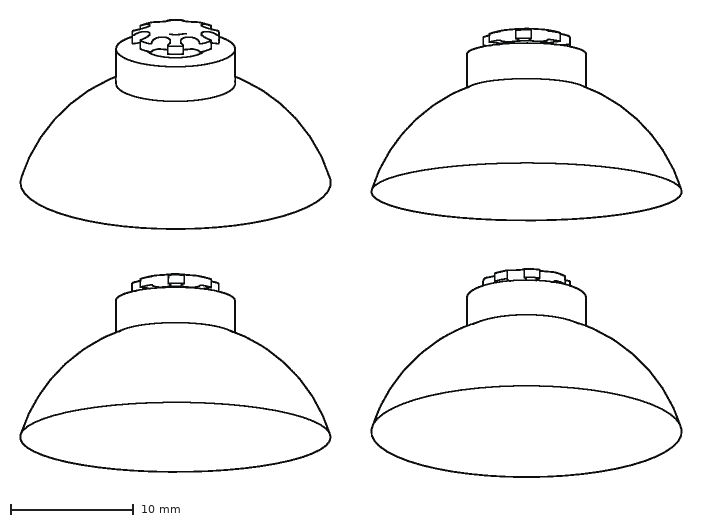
import cadquery as cq
import math

total_height = 13.09
collar_top_z = 11.39
wheel_bottom_z = 12.03
wheel_rim_z = 12.72

base_radius = 25.26 / 2
dome_sphere_radius = 13.2
dome_center_z = -math.sqrt(dome_sphere_radius**2 - base_radius**2)

collar_radius = 9.7 / 2
neck_radius = 2.4

wheel_radius = 3.54
notch_count = 8
notch_radius = 0.76
notch_floor_radius = 2.33
notch_corner_fillet = 0.08

lip_radius = 1.81
hollow_radius = 1.05
hollow_edge_angle = math.radians(23)


def dome_height(radius):
    """Height of the dome surface at a distance from the axis."""
    return dome_center_z + math.sqrt(dome_sphere_radius**2 - radius**2)


def make_body():
    """Dome, collar and neck, revolved around Z."""
    middle_radius = (base_radius + collar_radius) / 2
    profile = (
        cq.Workplane("XZ")
        .lineTo(base_radius, 0)
        .threePointArc(
            (middle_radius, dome_height(middle_radius)),
            (collar_radius, dome_height(collar_radius)),
        )
        .lineTo(collar_radius, collar_top_z)
        .lineTo(neck_radius, collar_top_z)
        .lineTo(neck_radius, wheel_bottom_z)
        .lineTo(0, wheel_bottom_z)
        .close()
    )
    return profile.revolve(360, (0, 0, 0), (0, 1, 0))


def flat_arc_middle(level_point, other_point):
    """Middle of the arc that leaves level_point horizontally and ends at other_point."""
    run = other_point[0] - level_point[0]
    rise = other_point[1] - level_point[1]
    half_sweep = math.atan(rise / run)
    radius = run / math.sin(2 * half_sweep)
    return (
        level_point[0] + radius * math.sin(half_sweep),
        level_point[1] + radius * (1 - math.cos(half_sweep)),
    )


def make_wheel_blank():
    """Wheel with a crowned top and a smooth dimple, before notching."""
    hollow_sphere_radius = hollow_radius / math.sin(hollow_edge_angle)
    lip_arc_radius = (lip_radius - hollow_radius) / math.sin(hollow_edge_angle)
    hollow_edge_z = total_height - lip_arc_radius * (1 - math.cos(hollow_edge_angle))
    hollow_bottom_z = hollow_edge_z - hollow_sphere_radius * (1 - math.cos(hollow_edge_angle))
    hollow_bottom = (0, hollow_bottom_z)
    hollow_edge = (hollow_radius, hollow_edge_z)
    lip_crest = (lip_radius, total_height)
    rim = (wheel_radius, wheel_rim_z)
    profile = (
        cq.Workplane("XZ")
        .moveTo(0, wheel_bottom_z)
        .lineTo(*hollow_bottom)
        .threePointArc(flat_arc_middle(hollow_bottom, hollow_edge), hollow_edge)
        .threePointArc(flat_arc_middle(lip_crest, hollow_edge), lip_crest)
        .threePointArc(flat_arc_middle(lip_crest, rim), rim)
        .lineTo(wheel_radius, wheel_bottom_z)
        .close()
    )
    return profile.revolve(360, (0, 0, 0), (0, 1, 0))


def make_notch(angle):
    """Round cutter for one rim notch, at an angle around Z."""
    return (
        cq.Workplane("XY", origin=(0, 0, wheel_bottom_z))
        .center(notch_floor_radius + notch_radius, 0)
        .circle(notch_radius)
        .extrude(total_height - wheel_bottom_z)
        .rotate((0, 0, 0), (0, 0, 1), angle)
    )


def make_wheel():
    """Wheel with evenly spaced rim notches and rounded corners at their mouths."""
    wheel = make_wheel_blank()
    for index in range(notch_count):
        wheel = wheel.cut(make_notch(index * 360 / notch_count))
    return wheel.edges("|Z").fillet(notch_corner_fillet)


result = make_body().union(make_wheel())